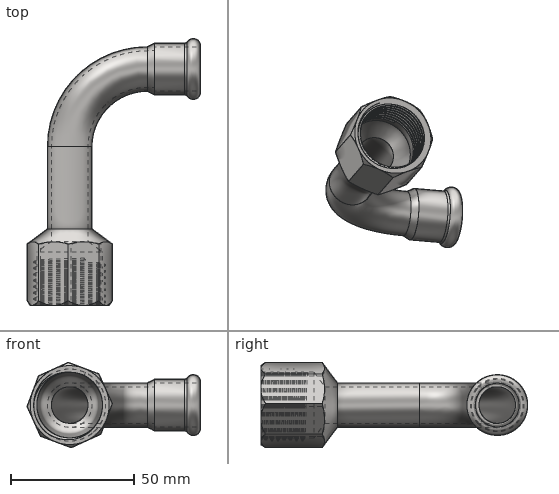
import cadquery as cq
import math

WALL = 1.6
TUBE_DIAMETER = 18.1
TUBE_RADIUS = TUBE_DIAMETER / 2
TUBE_BORE = TUBE_RADIUS - WALL
BEND_RADIUS = 31.5
ELBOW_START = 64.4

NUT_SIDES = 8
NUT_CORNER_RADIUS = 17.3
NUT_TURN = 2.0
NUT_APOTHEM = NUT_CORNER_RADIUS * math.cos(math.pi / NUT_SIDES)
NUT_CHAMFER = 2.0
NUT_CORNER_END = 24.9
NUT_END = 31.1

THREAD_CREST = 13.3
THREAD_ROOT = 14.6
THREAD_PITCH = 2.5
THREAD_LENGTH = 18.4
GROOVE_MOUTH = 1.7
GROOVE_FLOOR = 0.3
THREAD_START = 155
CUT_OVERLAP = 0.1
BORE_DEPTH = 21.7
CONE_SLOPE = (NUT_END - NUT_CORNER_END) / (NUT_CORNER_RADIUS - TUBE_RADIUS)
BORE_CONE_END = BORE_DEPTH + (THREAD_CREST - TUBE_BORE) * CONE_SLOPE

SOCKET_AXIS_Y = ELBOW_START + BEND_RADIUS
SOCKET_RADIUS = 10.5
SOCKET_BORE = SOCKET_RADIUS - WALL
TAPER_LENGTH = 2.9
TAPER_END = BEND_RADIUS + TAPER_LENGTH
SOCKET_END = 53.1
BEAD_RADIUS = 12.3
BEAD_ROUND = 2.9
BEAD_CENTRE_X = SOCKET_END - BEAD_ROUND
BEAD_CENTRE_RADIUS = BEAD_RADIUS - BEAD_ROUND
BEAD_ROOT_X = BEAD_CENTRE_X - math.sqrt(BEAD_ROUND**2 - (SOCKET_RADIUS - BEAD_CENTRE_RADIUS)**2)
BEAD_ROOT_CHAMFER = 0.8
BEAD_ROOT_RISE = 0.3
BEAD_FOOT_RADIUS = SOCKET_RADIUS + BEAD_ROOT_RISE
BEAD_FOOT_X = BEAD_CENTRE_X - math.sqrt(BEAD_ROUND**2 - (BEAD_FOOT_RADIUS - BEAD_CENTRE_RADIUS)**2)


def revolve_about_y(points):
    """Revolve an outline of (radius, y) points about the Y axis."""
    return cq.Workplane("XY").polyline(points).close().revolve(360, (0, 0), (0, 1))


def make_thread_groove():
    """Right-hand helical groove, starting one pitch outside the nut face."""
    length = THREAD_LENGTH + THREAD_PITCH
    helix = cq.Wire.makeHelix(THREAD_PITCH, length, THREAD_CREST)
    inner = THREAD_CREST - CUT_OVERLAP
    groove = (
        cq.Workplane("XZ")
        .polyline([
            (inner, -GROOVE_MOUTH / 2),
            (THREAD_ROOT, -GROOVE_FLOOR / 2),
            (THREAD_ROOT, GROOVE_FLOOR / 2),
            (inner, GROOVE_MOUTH / 2),
        ])
        .close()
        .sweep(cq.Workplane(obj=helix), isFrenet=True)
    )
    along_nut = groove.rotate((0, 0, 0), (1, 0, 0), -90).rotate((0, 0, 0), (0, 1, 0), THREAD_START)
    return along_nut.translate((0, -THREAD_PITCH, 0))


def make_nut():
    """Octagon trimmed by the front chamfer and the rear cone."""
    octagon = (
        cq.Workplane("XZ")
        .polygon(NUT_SIDES, 2 * NUT_CORNER_RADIUS)
        .extrude(-NUT_END)
        .rotate((0, 0, 0), (0, 1, 0), -NUT_TURN)
    )
    envelope = revolve_about_y([
        (0, 0),
        (NUT_APOTHEM, 0),
        (NUT_CORNER_RADIUS, NUT_CHAMFER),
        (NUT_CORNER_RADIUS, NUT_CORNER_END),
        (TUBE_RADIUS, NUT_END),
        (0, NUT_END),
    ])
    return octagon.intersect(envelope)


def make_adapter():
    """Threaded nut and straight tube in one piece."""
    tube = cq.Workplane("XZ").workplane(offset=-NUT_END).circle(TUBE_RADIUS).extrude(NUT_END - ELBOW_START)
    bore = revolve_about_y([
        (0, 0),
        (THREAD_CREST, 0),
        (THREAD_CREST, BORE_DEPTH),
        (TUBE_BORE, BORE_CONE_END),
        (TUBE_BORE, ELBOW_START),
        (0, ELBOW_START),
    ])
    return make_nut().union(tube).cut(bore).cut(make_thread_groove())


def make_bend():
    """Quarter bend from the tube to the socket."""
    return (
        cq.Workplane("XZ", origin=(0, ELBOW_START, 0))
        .circle(TUBE_RADIUS)
        .circle(TUBE_BORE)
        .revolve(90, (BEND_RADIUS, 0), (BEND_RADIUS, -1))
    )


def make_socket():
    """Tapered press socket with a rounded bead at its open end."""
    return (
        cq.Workplane("XY", origin=(0, SOCKET_AXIS_Y, 0))
        .moveTo(BEND_RADIUS, TUBE_BORE)
        .lineTo(BEND_RADIUS, TUBE_RADIUS)
        .lineTo(TAPER_END, SOCKET_RADIUS)
        .lineTo(BEAD_ROOT_X - BEAD_ROOT_CHAMFER, SOCKET_RADIUS)
        .lineTo(BEAD_FOOT_X, BEAD_FOOT_RADIUS)
        .threePointArc((BEAD_CENTRE_X, BEAD_RADIUS), (SOCKET_END, BEAD_CENTRE_RADIUS))
        .lineTo(SOCKET_END, SOCKET_BORE)
        .lineTo(TAPER_END, SOCKET_BORE)
        .lineTo(TAPER_END, TUBE_BORE)
        .close()
        .revolve(360, (0, 0), (1, 0))
    )


adapter = make_adapter()
elbow = make_bend().union(make_socket())

result = cq.Compound.makeCompound([*adapter.solids().vals(), *elbow.solids().vals()])